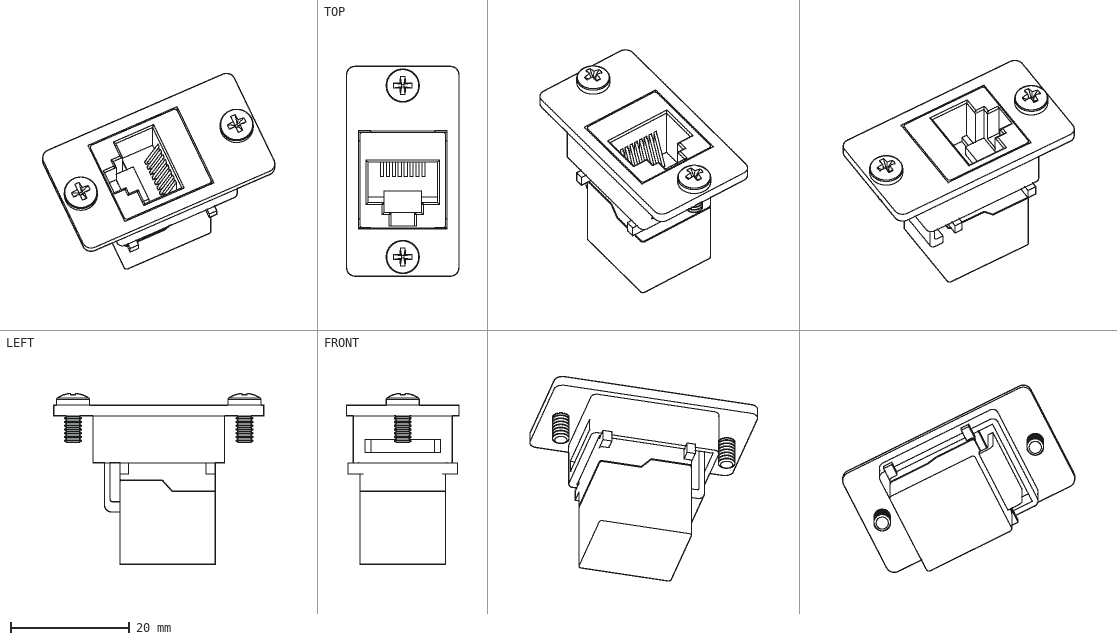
import cadquery as cq
import math


PLATE_WIDTH = 19.05
PLATE_LENGTH = 35.55
PLATE_THICKNESS = 1.8
PLATE_CORNER_RADIUS = 1.5
HOUSING_WIDTH = 16.8
HOUSING_LENGTH = 22.33
HOUSING_BOTTOM = -9.75
HOUSING_CORNER_RADIUS = 1.0
HOUSING_FRONT = -HOUSING_LENGTH / 2

SCREW_OFFSET = 14.5
HEAD_RADIUS = 2.8
HEAD_RIM_HEIGHT = 0.95
DOME_RADIUS_AT_RIM = 2.7
DOME_START_HEIGHT = 1.2
DOME_HEIGHT = 2.05
DOME_RISE = DOME_HEIGHT - DOME_START_HEIGHT
DOME_SPHERE_RADIUS = (DOME_RADIUS_AT_RIM**2 + DOME_RISE**2) / (2 * DOME_RISE)
DOME_MID_RADIUS = DOME_RADIUS_AT_RIM / 2
DOME_MID_HEIGHT = DOME_HEIGHT - DOME_SPHERE_RADIUS + math.sqrt(DOME_SPHERE_RADIUS**2 - DOME_MID_RADIUS**2)
THREAD_CREST_RADIUS = 1.42
THREAD_ROOT_RADIUS = 1.03
THREAD_LENGTH = 6.33
THREAD_TURNS = 10
THREAD_PITCH = THREAD_LENGTH / THREAD_TURNS
CREST_START = 0.4
CREST_END = 0.6
RECESS_LENGTH = 3.63
RECESS_WIDTH = 0.9
RECESS_TIP_SIZE = 0.43
RECESS_FLOOR = 0.43

JACK_WIDTH = 14.5
JACK_FRONT = -9.55
JACK_BACK = 6.58
JACK_BOTTOM = -26.92
JACK_CORNER_RADIUS = 0.5

TAB_SPAN = 18.55
TAB_HEIGHT = 1.92
FRONT_TAB_LENGTH = 1.55
BACK_TAB_LENGTH = 1.42

OPENING_WIDTH = 14.95
OPENING_FRONT = -9.75
OPENING_BACK = 6.83
LATCH_POCKET_BACK = 10.17

WINDOW_WIDTH = 12.8
WINDOW_TOP = -5.83
WINDOW_BOTTOM = -7.95
CATCH_WIDTH = 10.8
CATCH_TIP_Y = -10.77

LATCH_WIDTH = 10.88
LATCH_INNER_Y = 8.25
LATCH_OUTER_Y = 9.2
LATCH_TOP = WINDOW_TOP
LATCH_FOOT_TOP = -16.32
LATCH_FOOT_BOTTOM = -18.1
LATCH_INNER_RADIUS = 0.45
LATCH_OUTER_RADIUS = 1.25

GROOVE_HEIGHT = 0.1
GROOVE_DEPTH = 0.1
GROOVE_BACK_Z = -12.7
GROOVE_FRONT_Z = -14.58
GROOVE_STEP_BACK_Y = -0.57
GROOVE_STEP_FRONT_Y = -2.3

PORT_WIDTH = 11.8
PORT_BACK = 1.55
PORT_FRONT = -5.3
PORT_FLOOR = -9.8
SHOULDER_BACK = -4.35
SHOULDER_FLOOR = -8.82
LATCH_SLOT_WIDTH = 6.33
LATCH_SLOT_BACK = -3.3
LATCH_SLOT_FRONT = -7.0
LATCH_SLOT_FLOOR = -7.82
NOTCH_WIDTH = 3.95
NOTCH_FRONT = -9.25
NOTCH_FLOOR = -6.83
PORT_CHAMFER = 0.32

CONTACT_COUNT = 8
CONTACT_SPAN = 7.0
CONTACT_PITCH = CONTACT_SPAN / (CONTACT_COUNT - 1)
CONTACT_WIDTH = 0.55
CONTACT_TOP = -3.4
CONTACT_FRONT = -0.92


def block(width, front, back, bottom, top):
    """Box centred on X = 0 between the given Y and Z limits."""
    size = (width, back - front, top - bottom)
    return cq.Workplane("XY").box(*size, centered=(True, False, False)).translate((0, front, bottom))


def side_profile(points, width):
    """Closed (Y, Z) outline extruded evenly to both sides of X = 0."""
    return cq.Workplane("YZ").polyline(points).close().extrude(width / 2, both=True)


def make_panel():
    plate = block(PLATE_WIDTH, -PLATE_LENGTH / 2, PLATE_LENGTH / 2, -PLATE_THICKNESS, 0)
    plate = plate.edges("|Z").fillet(PLATE_CORNER_RADIUS)
    housing = block(HOUSING_WIDTH, HOUSING_FRONT, -HOUSING_FRONT, HOUSING_BOTTOM, -PLATE_THICKNESS)
    housing = housing.edges("|Z").fillet(HOUSING_CORNER_RADIUS)

    opening = block(OPENING_WIDTH, OPENING_FRONT, OPENING_BACK, HOUSING_BOTTOM, 0)
    latch_pocket = block(OPENING_WIDTH, OPENING_BACK, LATCH_POCKET_BACK, HOUSING_BOTTOM, -PLATE_THICKNESS)
    window = block(WINDOW_WIDTH, HOUSING_FRONT, OPENING_FRONT, WINDOW_BOTTOM, WINDOW_TOP)
    screw_holes = (
        cq.Workplane("XY")
        .pushPoints([(0, -SCREW_OFFSET), (0, SCREW_OFFSET)])
        .circle(THREAD_CREST_RADIUS)
        .extrude(-PLATE_THICKNESS)
    )
    return plate.union(housing).cut(opening).cut(latch_pocket).cut(window).cut(screw_holes)


def make_jack_body():
    body = block(JACK_WIDTH, JACK_FRONT, JACK_BACK, JACK_BOTTOM, 0)
    return body.edges("|Z").fillet(JACK_CORNER_RADIUS)


def make_tabs():
    tab_bottom = HOUSING_BOTTOM - TAB_HEIGHT
    front = block(TAB_SPAN, JACK_FRONT, JACK_FRONT + FRONT_TAB_LENGTH, tab_bottom, HOUSING_BOTTOM)
    back = block(TAB_SPAN, JACK_BACK - BACK_TAB_LENGTH, JACK_BACK, tab_bottom, HOUSING_BOTTOM)
    return front.union(back)


def make_catch():
    """Wedge that thickens downwards and ends in a flat locking face."""
    profile = [(JACK_FRONT, WINDOW_TOP), (CATCH_TIP_Y, WINDOW_BOTTOM), (JACK_FRONT, WINDOW_BOTTOM)]
    return side_profile(profile, CATCH_WIDTH)


def make_latch():
    """L-shaped spring arm, rounded inside and outside the bend."""
    profile = [
        (JACK_BACK, LATCH_FOOT_BOTTOM),
        (LATCH_OUTER_Y, LATCH_FOOT_BOTTOM),
        (LATCH_OUTER_Y, LATCH_TOP),
        (LATCH_INNER_Y, LATCH_TOP),
        (LATCH_INNER_Y, LATCH_FOOT_TOP),
        (JACK_BACK, LATCH_FOOT_TOP),
    ]
    latch = side_profile(profile, LATCH_WIDTH)
    latch = latch.edges(cq.NearestToPointSelector((0, LATCH_OUTER_Y, LATCH_FOOT_BOTTOM)))
    latch = latch.fillet(LATCH_OUTER_RADIUS)
    inner_bend = cq.NearestToPointSelector((0, LATCH_INNER_Y, LATCH_FOOT_TOP))
    return latch.edges(inner_bend).fillet(LATCH_INNER_RADIUS)


def make_groove():
    """Shallow band around the jack, following the stepped parting line."""
    path = [
        (JACK_FRONT, GROOVE_FRONT_Z),
        (GROOVE_STEP_FRONT_Y, GROOVE_FRONT_Z),
        (GROOVE_STEP_BACK_Y, GROOVE_BACK_Z),
        (JACK_BACK, GROOVE_BACK_Z),
    ]
    upper = [(y, z + GROOVE_HEIGHT / 2) for y, z in path]
    lower = [(y, z - GROOVE_HEIGHT / 2) for y, z in reversed(path)]
    band = side_profile(upper + lower, JACK_WIDTH)
    core = block(
        JACK_WIDTH - 2 * GROOVE_DEPTH,
        JACK_FRONT + GROOVE_DEPTH,
        JACK_BACK - GROOVE_DEPTH,
        JACK_BOTTOM,
        0,
    )
    core = core.edges("|Z").fillet(JACK_CORNER_RADIUS - GROOVE_DEPTH)
    return band.cut(core)


def make_port():
    """Stepped plug cavity, each part with its own floor."""
    side_width = (PORT_WIDTH - LATCH_SLOT_WIDTH) / 2
    side_x = (LATCH_SLOT_WIDTH + side_width) / 2
    port = block(PORT_WIDTH, LATCH_SLOT_BACK, PORT_BACK, PORT_FLOOR, 0)
    port = port.union(block(LATCH_SLOT_WIDTH, LATCH_SLOT_FRONT, LATCH_SLOT_BACK, LATCH_SLOT_FLOOR, 0))
    port = port.union(block(NOTCH_WIDTH, NOTCH_FRONT, LATCH_SLOT_FRONT, NOTCH_FLOOR, 0))
    for x in (-side_x, side_x):
        side = block(side_width, SHOULDER_BACK, LATCH_SLOT_BACK, PORT_FLOOR, 0)
        shoulder = block(side_width, PORT_FRONT, SHOULDER_BACK, SHOULDER_FLOOR, 0)
        port = port.union(side.union(shoulder).translate((x, 0, 0)))
    return port


def make_lead_in():
    """Chamfer around the rim of the port, except on the front edge of the notch."""
    rim_back = PORT_BACK + PORT_CHAMFER
    half_port = PORT_WIDTH / 2 + PORT_CHAMFER
    half_slot = LATCH_SLOT_WIDTH / 2 + PORT_CHAMFER
    half_notch = NOTCH_WIDTH / 2 + PORT_CHAMFER
    right_side = [
        (half_port, rim_back),
        (half_port, PORT_FRONT - PORT_CHAMFER),
        (half_slot, PORT_FRONT - PORT_CHAMFER),
        (half_slot, LATCH_SLOT_FRONT - PORT_CHAMFER),
        (half_notch, LATCH_SLOT_FRONT - PORT_CHAMFER),
        (half_notch, NOTCH_FRONT - PORT_CHAMFER),
    ]
    left_side = [(-x, y) for x, y in reversed(right_side)]
    funnel = cq.Workplane("XY").polyline(right_side + left_side).close()
    funnel = funnel.extrude(-PORT_CHAMFER, taper=45)
    return funnel.intersect(block(2 * half_port, NOTCH_FRONT, rim_back, -PORT_CHAMFER, 0))


def make_contact(x):
    """Contact fin that slopes from the back wall of the port down to its floor."""
    profile = [(PORT_BACK, CONTACT_TOP), (CONTACT_FRONT, PORT_FLOOR), (PORT_BACK, PORT_FLOOR)]
    return side_profile(profile, CONTACT_WIDTH).translate((x, 0, 0))


def make_jack():
    jack = make_jack_body().cut(make_groove())
    jack = jack.union(make_tabs()).union(make_catch()).union(make_latch())
    jack = jack.cut(make_port()).cut(make_lead_in())
    for index in range(CONTACT_COUNT):
        x = index * CONTACT_PITCH - CONTACT_SPAN / 2
        jack = jack.union(make_contact(x))
    return jack


def make_recess():
    """Cross recess whose two slots narrow to a small square floor."""
    depth = DOME_HEIGHT - RECESS_FLOOR
    slot = (
        cq.Workplane("XY")
        .workplane(offset=RECESS_FLOOR)
        .rect(RECESS_TIP_SIZE, RECESS_TIP_SIZE)
        .workplane(offset=depth)
        .rect(RECESS_LENGTH, RECESS_WIDTH)
        .loft()
    )
    return slot.union(slot.rotate((0, 0, 0), (0, 0, 1), 90))


def make_screw(y):
    """Domed screw with ring-shaped threads and its head resting on the plate."""
    outline = (
        cq.Workplane("XZ")
        .moveTo(0, DOME_HEIGHT)
        .threePointArc((DOME_MID_RADIUS, DOME_MID_HEIGHT), (DOME_RADIUS_AT_RIM, DOME_START_HEIGHT))
        .lineTo(HEAD_RADIUS, HEAD_RIM_HEIGHT)
        .lineTo(HEAD_RADIUS, 0)
        .lineTo(THREAD_ROOT_RADIUS, 0)
    )
    for turn in range(THREAD_TURNS):
        outline = (
            outline.lineTo(THREAD_CREST_RADIUS, -(turn + CREST_START) * THREAD_PITCH)
            .lineTo(THREAD_CREST_RADIUS, -(turn + CREST_END) * THREAD_PITCH)
            .lineTo(THREAD_ROOT_RADIUS, -(turn + 1) * THREAD_PITCH)
        )
    screw = outline.lineTo(0, -THREAD_LENGTH).close().revolve()
    return screw.cut(make_recess()).translate((0, y, 0))


panel = make_panel()
jack = make_jack()
screws = [make_screw(y) for y in (-SCREW_OFFSET, SCREW_OFFSET)]

result = cq.Compound.makeCompound([panel.val(), jack.val(), *[screw.val() for screw in screws]])